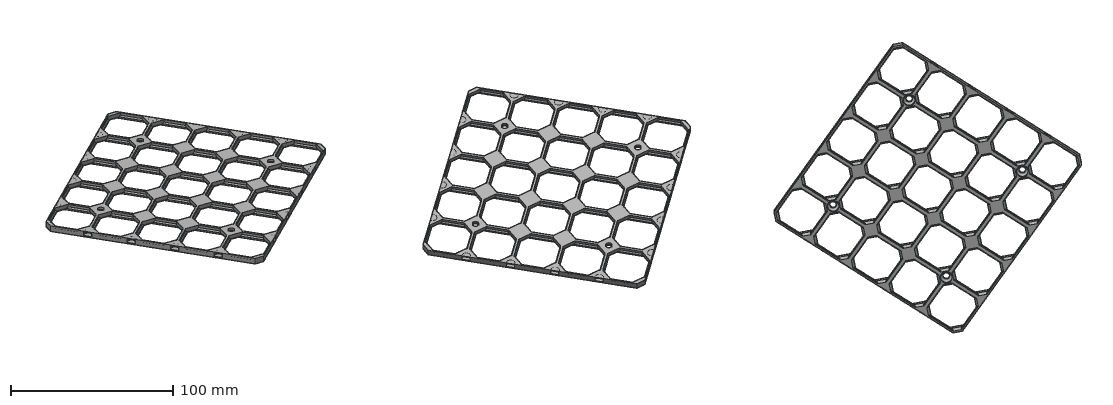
import cadquery as cq
import math

side = 140.0
cells = 5
pitch = side / cells
thickness = 4.0
outer_corner_chamfer = 4.2

web_half_width = 0.8
lip_overhang = 0.7
lip_half_width = web_half_width + lip_overhang
lip_height = 1.4
web_start_height = 2.4
lip_edge_chamfer = 0.4

gusset_reach = 7.8
gusset_chamfer = 1.4

screw_diameter = 4.0
head_diameter = 7.1
head_recess = 1.0
countersink_depth = (head_diameter - screw_diameter) / 2

pocket_radius = 2.7
pocket_inset = 0.8
pocket_height = 2.4
pocket_floor = 1.0

crossings = [pitch * i - side / 2 for i in range(1, cells)]
cell_centres = [pitch * (i + 0.5) - side / 2 for i in range(cells)]
screw_crossings = [crossings[0], crossings[-1]]


def cell_layer(bottom_wall, top_wall, bottom_z, top_z):
    """Square opening of one cell between two heights, given the half wall widths."""
    bottom_side = pitch - 2 * bottom_wall
    top_side = pitch - 2 * top_wall
    return (
        cq.Workplane("XY", origin=(0, 0, bottom_z))
        .rect(bottom_side, bottom_side)
        .workplane(offset=top_z - bottom_z)
        .rect(top_side, top_side)
        .loft(ruled=True)
    )


def cell_opening():
    """Square opening of one cell through all its wall layers, without gussets."""
    lip_edge = cell_layer(lip_half_width - lip_edge_chamfer, lip_half_width, 0, lip_edge_chamfer)
    lip = cell_layer(lip_half_width, lip_half_width, lip_edge_chamfer, lip_height)
    slope = cell_layer(lip_half_width, web_half_width, lip_height, web_start_height)
    web = cell_layer(web_half_width, web_half_width, web_start_height, thickness)
    return lip_edge.union(lip).union(slope).union(web)


def draw_diamond(plane, reach):
    """Square turned by 45 degrees, with its points at the given reach."""
    return plane.polyline([(reach, 0), (0, reach), (-reach, 0), (0, -reach)]).close()


def gusset_clearance():
    """Space between the four gussets around a cell, wider at the chamfered underside."""
    reach = pitch - gusset_reach
    bottom_reach = reach + gusset_chamfer * math.sqrt(2)
    chamfer_bottom = draw_diamond(cq.Workplane("XY"), bottom_reach)
    chamfered = draw_diamond(chamfer_bottom.workplane(offset=gusset_chamfer), reach).loft(ruled=True)
    straight_start = cq.Workplane("XY", origin=(0, 0, gusset_chamfer))
    straight = draw_diamond(straight_start, reach).extrude(thickness - gusset_chamfer)
    return chamfered.union(straight)


def plate():
    """Square plate with its four corners cut off."""
    blank = cq.Workplane("XY").box(side, side, thickness, centered=(True, True, False))
    return blank.edges("|Z").chamfer(outer_corner_chamfer)


def side_pockets():
    """Pockets opening through all four sides, one at the end of every wall."""
    centre_distance = side / 2 - pocket_inset
    ends = [(place, end * centre_distance) for place in crossings for end in (-1, 1)]
    ends += [(y, x) for x, y in ends]
    return (
        cq.Workplane("XY", origin=(0, 0, pocket_floor))
        .pushPoints(ends)
        .circle(pocket_radius)
        .extrude(pocket_height)
    )


def screw_hole():
    """Screw clearance: half section turned about the hole axis."""
    screw_radius = screw_diameter / 2
    head_radius = head_diameter / 2
    return (
        cq.Workplane("XZ")
        .moveTo(0, 0)
        .lineTo(head_radius, 0)
        .lineTo(head_radius, head_recess)
        .lineTo(screw_radius, head_recess + countersink_depth)
        .lineTo(screw_radius, thickness)
        .lineTo(0, thickness)
        .close()
        .revolve(360, (0, 0), (0, 1))
    )


opening = cell_opening().intersect(gusset_clearance())
hole = screw_hole()

result = plate().cut(side_pockets())
for x in cell_centres:
    for y in cell_centres:
        result = result.cut(opening.translate((x, y, 0)))
for x in screw_crossings:
    for y in screw_crossings:
        result = result.cut(hole.translate((x, y, 0)))
result = result.solids()